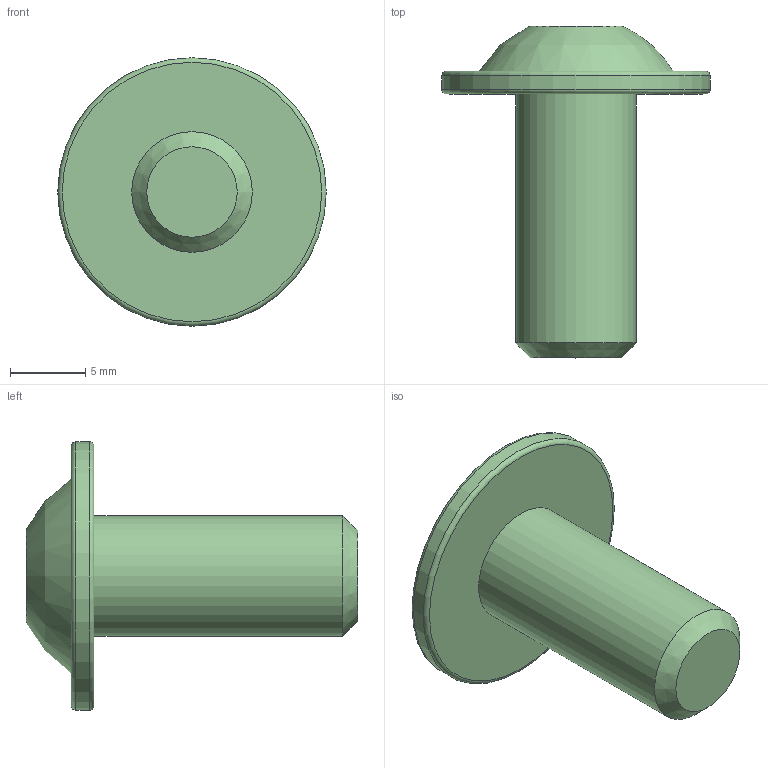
import cadquery as cq
import math

shank_diameter = 8.0
shank_length = 17.5
tip_chamfer = 1.0

flange_diameter = 17.8
flange_thickness = 1.5
flange_edge_radius = 0.3

dome_height = 3.0
dome_base_radius = 6.45
dome_top_radius = 3.1
dome_bulge = 0.34


def make_shank():
    """Plain cylindrical shank with a chamfered tip."""
    shank = cq.Workplane("XZ").circle(shank_diameter / 2).extrude(shank_length)
    return shank.faces("<Y").chamfer(tip_chamfer)


def make_flange():
    """Round flange with both rims rounded."""
    flange = cq.Workplane("XZ").circle(flange_diameter / 2).extrude(-flange_thickness)
    return flange.edges("%CIRCLE").fillet(flange_edge_radius)


def make_dome():
    """Button head: a convex arc revolved about Y, with a flat top."""
    dome_top = flange_thickness + dome_height
    chord_run = dome_base_radius - dome_top_radius
    chord_length = math.hypot(chord_run, dome_height)
    arc_middle = (
        (dome_base_radius + dome_top_radius) / 2 + dome_bulge * dome_height / chord_length,
        flange_thickness + dome_height / 2 + dome_bulge * chord_run / chord_length,
    )
    profile = (
        cq.Workplane("XY")
        .moveTo(0, flange_thickness)
        .lineTo(dome_base_radius, flange_thickness)
        .threePointArc(arc_middle, (dome_top_radius, dome_top))
        .lineTo(0, dome_top)
        .close()
    )
    return profile.revolve(360, (0, 0, 0), (0, 1, 0))


result = make_shank().union(make_flange()).union(make_dome())